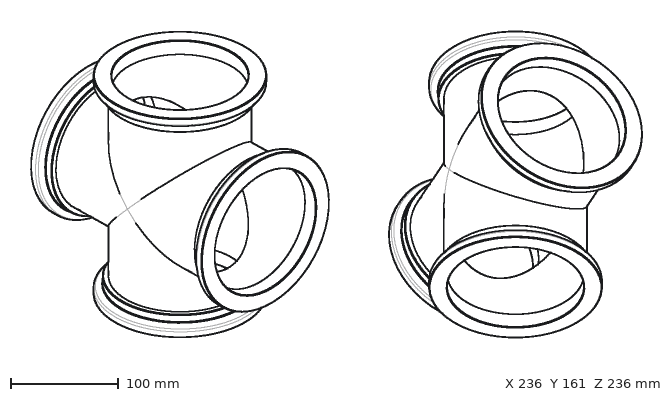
import cadquery as cq

span = 236.0
half_span = span / 2

tube_diameter = 133.0
bore_diameter = 127.0

rim_diameter = 161.0
rim_width = 8.3
neck_diameter = 144.0
neck_start = 11.5
flange_length = 19.8
socket_start = 15.0
edge_chamfer = 0.7
rim_back_radius = 2.4
neck_root_radius = 1.0

tube_half_length = half_span - socket_start


def make_rod(diameter, axis):
    """Solid cylinder centred on the origin, running the full tube length."""
    return cq.Workplane(axis).circle(diameter / 2).extrude(tube_half_length, both=True)


def make_cross_tube():
    """Two equal tubes crossing at right angles, with open bores."""
    outside = make_rod(tube_diameter, "XY").union(make_rod(tube_diameter, "YZ"))
    bores = make_rod(bore_diameter, "XY").union(make_rod(bore_diameter, "YZ"))
    return outside.cut(bores)


def circles_at(solid, height):
    """Circular edges of the solid that lie at the given Z height."""
    tolerance = 0.002
    circles = [edge for edge in solid.Edges() if edge.geomType() == "CIRCLE"]
    return [edge for edge in circles if abs(edge.Center().z - height) < tolerance]


def make_flange():
    """Flange on the upper end of the Z tube, revolved from its radial section."""
    rim_radius = rim_diameter / 2
    neck_radius = neck_diameter / 2
    bore_radius = bore_diameter / 2
    tube_radius = tube_diameter / 2
    section = [
        (bore_radius + edge_chamfer, half_span),
        (rim_radius - edge_chamfer, half_span),
        (rim_radius, half_span - edge_chamfer),
        (rim_radius, half_span - rim_width),
        (neck_radius, half_span - neck_start),
        (neck_radius, half_span - flange_length + edge_chamfer),
        (neck_radius - edge_chamfer, half_span - flange_length),
        (tube_radius, half_span - flange_length),
        (tube_radius, half_span - socket_start),
        (bore_radius, half_span - socket_start),
        (bore_radius, half_span - edge_chamfer),
    ]
    flange = cq.Workplane("XZ").polyline(section).close().revolve(360, (0, 0, 0), (0, 1, 0)).val()

    flange = flange.fillet(rim_back_radius, circles_at(flange, half_span - rim_width))
    return flange.fillet(neck_root_radius, circles_at(flange, half_span - neck_start))


cross_tube = make_cross_tube()

end_angles = [0, 90, 180, 270]
flange = make_flange()
flanges = [flange.rotate((0, 0, 0), (0, 1, 0), angle) for angle in end_angles]

result = cq.Compound.makeCompound([cross_tube.val(), *flanges])